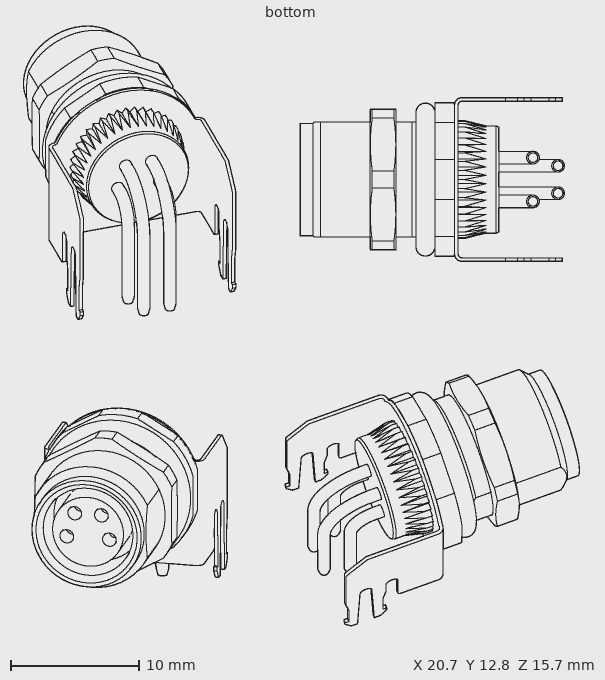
import cadquery as cq
import math


TOTAL_LENGTH = 20.65

TIP_RADIUS = 4.4
TIP_END = 1.01
THREAD_RADIUS = 5.0
THREAD_END = 8.75
THREAD_FLAT_OFFSET = 4.5
FLANGE_START = 10.53
FLANGE_END = 12.05
FLANGE_RADIUS = 6.24
FLANGE_FLAT_OFFSET = 6.0
KNURL_END = 14.52
KNURL_TAPER_START = 12.85
KNURL_CREST_RADIUS = 4.6
KNURL_TEETH = 40
BOSS_RADIUS = 8.4 / 2
BOSS_END = 15.53
BOSS_CHAMFER_LENGTH = 0.2
BOSS_CHAMFER_DEPTH = 0.1

SOCKET_RADIUS = 7.2 / 2
SOCKET_RIM_RADIUS = 4.07
SOCKET_DEPTH = 4.13
INSERT_RADIUS = 5.7 / 2
INSERT_RECESS = 0.5
CONTACT_HOLE_DIAMETER = 1.1
CONTACT_HOLE_DEPTH = 2.06
UPPER_CONTACT_Y = 1.07
UPPER_CONTACT_Z = 1.45
LOWER_CONTACT_Y = 1.71
LOWER_CONTACT_Z = -0.52

PIN_RADIUS = 1.0 / 2
PIN_BOTTOM = -9.5
PIN_TIP_LENGTH = 0.5
PIN_TIP_INSET = 0.12
OUTER_PIN_X = TOTAL_LENGTH - PIN_RADIUS
OUTER_BEND_RADIUS = 3.95
BEND_CENTRE_X = OUTER_PIN_X - OUTER_BEND_RADIUS
BEND_CENTRE_Z = UPPER_CONTACT_Z - OUTER_BEND_RADIUS

SHEET = 0.29
BRACKET_HALF_WIDTH = 6.4
BRACKET_BEND_RADIUS = 0.6
BRACKET_TOP = 2.33
BRACKET_BOTTOM = -6.32
BRACKET_CROWN_RADIUS = 6.15
CROWN_FILLET = 0.25
CLIP_CENTRE_X = 18.73
CLIP_HALF_WIDTH = 1.7
CLIP_NECK_HALF_WIDTH = 1.45
CLIP_BARB_HALF_WIDTH = 1.75
CLIP_TIP_HALF_WIDTH = 1.22
CLIP_SLOT_MOUTH_HALF_WIDTH = 0.7
CLIP_BOTTOM = -9.13
BARB_BOTTOM = -8.43
BARB_TOP = -8.1
NECK_TOP = -6.03
NECK_TAPER_TOP = -4.9
SLOT_RADIUS = 0.5
SLOT_ARC_CENTRE = -3.68
CORNER_CUT_X = 1.82
CORNER_CUT_Z = 1.71
PLATE_CORNER_FILLET = 0.25

NUT_START = 5.47
NUT_END = 7.5
NUT_FLAT_OFFSET = 5.5
NUT_CORNER_RADIUS = 5.99
NUT_FACE_RADIUS = 5.43
NUT_CHAMFER_LENGTH = 0.17

O_RING_START = 9.05
O_RING_SECTION_RADIUS = (FLANGE_START - O_RING_START) / 2
O_RING_SEAT_RADIUS = THREAD_FLAT_OFFSET


def turned(points):
    """Solid of revolution about the X axis from (x, radius) points."""
    return cq.Workplane("XY").polyline(points).close().revolve(360, (0, 0), (1, 0))


def cylinder(start, end, radius):
    """Cylinder on the X axis."""
    return cq.Workplane("YZ", origin=(start, 0, 0)).circle(radius).extrude(end - start)


def ring(centre_x, mean_radius, section_radius):
    """Torus around the X axis."""
    return (
        cq.Workplane("XY").center(centre_x, mean_radius).circle(section_radius)
        .revolve(360, (0, -mean_radius), (1, -mean_radius))
    )


def hexagon(start, end, flat_offset):
    """Hexagonal prism along X with two of its flats facing +Y and -Y."""
    corner_diameter = 2 * flat_offset / math.cos(math.pi / 6)
    return (
        cq.Workplane("YZ", origin=(start, 0, 0))
        .transformed(rotate=(0, 0, 90))
        .polygon(6, corner_diameter)
        .extrude(end - start)
    )


def make_barrel():
    """Threaded barrel with two flats, ending in the O-ring seat."""
    front_cone = THREAD_RADIUS - TIP_RADIUS
    rear_cone = THREAD_RADIUS - O_RING_SEAT_RADIUS
    barrel = turned([
        (0, 0),
        (0, TIP_RADIUS),
        (TIP_END, TIP_RADIUS),
        (TIP_END + front_cone, THREAD_RADIUS),
        (THREAD_END, THREAD_RADIUS),
        (THREAD_END + rear_cone, O_RING_SEAT_RADIUS),
        (FLANGE_START, O_RING_SEAT_RADIUS),
        (FLANGE_START, 0),
    ])
    between_flats = cq.Workplane("XY").box(
        FLANGE_START, 2 * THREAD_FLAT_OFFSET, 2 * THREAD_RADIUS, centered=(False, True, True)
    )
    return barrel.intersect(between_flats)


def make_flange():
    """Round flange with six flats."""
    disc = cylinder(FLANGE_START, FLANGE_END, FLANGE_RADIUS)
    return disc.intersect(hexagon(FLANGE_START, FLANGE_END, FLANGE_FLAT_OFFSET))


def make_knurl():
    """Collar with V-shaped teeth along X, tapered down to the boss."""
    half_pitch = math.pi / KNURL_TEETH
    outline = []
    for i in range(2 * KNURL_TEETH):
        radius = KNURL_CREST_RADIUS if i % 2 == 0 else BOSS_RADIUS
        outline.append((radius * math.cos(i * half_pitch), radius * math.sin(i * half_pitch)))
    teeth = (
        cq.Workplane("YZ", origin=(FLANGE_END, 0, 0))
        .polyline(outline).close().extrude(KNURL_END - FLANGE_END)
    )
    envelope = turned([
        (FLANGE_END, 0),
        (FLANGE_END, KNURL_CREST_RADIUS),
        (KNURL_TAPER_START, KNURL_CREST_RADIUS),
        (KNURL_END, BOSS_RADIUS),
        (KNURL_END, 0),
    ])
    return teeth.intersect(envelope)


def make_boss():
    """Rear boss with a chamfered back edge."""
    return turned([
        (KNURL_END, 0),
        (KNURL_END, BOSS_RADIUS),
        (BOSS_END - BOSS_CHAMFER_LENGTH, BOSS_RADIUS),
        (BOSS_END, BOSS_RADIUS - BOSS_CHAMFER_DEPTH),
        (BOSS_END, 0),
    ])


def cut_mating_face(housing):
    """Hollow the front: annular socket around the insert, bead and contact holes."""
    socket = turned([
        (0, 0),
        (0, SOCKET_RIM_RADIUS),
        (INSERT_RECESS, SOCKET_RADIUS),
        (SOCKET_DEPTH, SOCKET_RADIUS),
        (SOCKET_DEPTH, INSERT_RADIUS),
        (INSERT_RECESS, INSERT_RADIUS),
        (INSERT_RECESS, 0),
    ])
    bead_radius = (SOCKET_RADIUS - INSERT_RADIUS) / 2
    bead = ring(SOCKET_DEPTH, INSERT_RADIUS + bead_radius, bead_radius)
    contact_holes = (
        cq.Workplane("YZ", origin=(INSERT_RECESS, 0, 0))
        .pushPoints([
            (UPPER_CONTACT_Y, UPPER_CONTACT_Z),
            (-UPPER_CONTACT_Y, UPPER_CONTACT_Z),
            (LOWER_CONTACT_Y, LOWER_CONTACT_Z),
            (-LOWER_CONTACT_Y, LOWER_CONTACT_Z),
        ])
        .circle(CONTACT_HOLE_DIAMETER / 2)
        .extrude(CONTACT_HOLE_DEPTH)
    )
    return housing.cut(socket).union(bead).cut(contact_holes)


def make_pin(y, z):
    """Pin leaving the boss at height z, bent down about the common bend centre."""
    bend_radius = z - BEND_CENTRE_Z
    pin_x = BEND_CENTRE_X + bend_radius
    tip_top = PIN_BOTTOM + PIN_TIP_LENGTH
    diagonal = bend_radius * math.sqrt(0.5)
    path = (
        cq.Workplane("XZ", origin=(0, y, 0))
        .moveTo(BOSS_END, z)
        .lineTo(BEND_CENTRE_X, z)
        .threePointArc(
            (BEND_CENTRE_X + diagonal, BEND_CENTRE_Z + diagonal),
            (pin_x, BEND_CENTRE_Z),
        )
        .lineTo(pin_x, tip_top)
    )
    rod = cq.Workplane("YZ", origin=(BOSS_END, y, z)).circle(PIN_RADIUS).sweep(path)
    tip = (
        cq.Workplane("XY", origin=(pin_x, y, PIN_BOTTOM))
        .circle(PIN_RADIUS - PIN_TIP_INSET)
        .workplane(offset=PIN_TIP_LENGTH)
        .circle(PIN_RADIUS)
        .loft()
    )
    return rod.union(tip)


def make_bracket_side_outline():
    """Outline of the two side plates, as a block across the full bracket width."""
    rear = CLIP_CENTRE_X + CLIP_HALF_WIDTH
    clip_front = CLIP_CENTRE_X - CLIP_HALF_WIDTH
    plate_rear = clip_front - 2 * SLOT_RADIUS
    slot_top = SLOT_ARC_CENTRE + SLOT_RADIUS
    leg = [
        (CLIP_HALF_WIDTH, NECK_TAPER_TOP),
        (CLIP_NECK_HALF_WIDTH, NECK_TOP),
        (CLIP_NECK_HALF_WIDTH, BARB_TOP),
        (CLIP_BARB_HALF_WIDTH, BARB_TOP),
        (CLIP_BARB_HALF_WIDTH, BARB_BOTTOM),
        (CLIP_TIP_HALF_WIDTH, CLIP_BOTTOM),
        (CLIP_SLOT_MOUTH_HALF_WIDTH, CLIP_BOTTOM),
    ]
    outline = (
        cq.Workplane("XZ", origin=(0, BRACKET_HALF_WIDTH, 0))
        .moveTo(FLANGE_END, BRACKET_TOP)
        .lineTo(rear - CORNER_CUT_X, BRACKET_TOP)
        .lineTo(rear, BRACKET_TOP - CORNER_CUT_Z)
    )
    for offset, z in leg:
        outline = outline.lineTo(CLIP_CENTRE_X + offset, z)
    outline = (
        outline
        .lineTo(CLIP_CENTRE_X + SLOT_RADIUS, SLOT_ARC_CENTRE)
        .threePointArc((CLIP_CENTRE_X, slot_top), (CLIP_CENTRE_X - SLOT_RADIUS, SLOT_ARC_CENTRE))
    )
    for offset, z in reversed(leg):
        outline = outline.lineTo(CLIP_CENTRE_X - offset, z)
    plate = (
        outline
        .lineTo(clip_front, SLOT_ARC_CENTRE)
        .threePointArc((clip_front - SLOT_RADIUS, slot_top), (plate_rear, SLOT_ARC_CENTRE))
        .lineTo(plate_rear, BRACKET_BOTTOM)
        .lineTo(FLANGE_END, BRACKET_BOTTOM)
        .close()
        .extrude(2 * BRACKET_HALF_WIDTH)
    )
    rounded_corners = [
        (rear - CORNER_CUT_X, BRACKET_TOP),
        (rear, BRACKET_TOP - CORNER_CUT_Z),
        (plate_rear, BRACKET_BOTTOM),
    ]
    for x, z in rounded_corners:
        corner = cq.selectors.NearestToPointSelector((x, 0, z))
        plate = plate.edges("|Y").edges(corner).fillet(PLATE_CORNER_FILLET)
    return plate


def make_bracket_crown():
    """Round top of the front panel, with filleted feet on the side plates' top level."""
    foot_centre_z = BRACKET_TOP + CROWN_FILLET
    centre_distance = BRACKET_CROWN_RADIUS + CROWN_FILLET
    foot_centre_y = math.sqrt(centre_distance ** 2 - foot_centre_z ** 2)
    touch_y = foot_centre_y * BRACKET_CROWN_RADIUS / centre_distance
    touch_z = foot_centre_z * BRACKET_CROWN_RADIUS / centre_distance
    middle_angle = (math.atan2(foot_centre_z, foot_centre_y) + math.pi / 2) / 2
    middle_y = foot_centre_y - CROWN_FILLET * math.cos(middle_angle)
    middle_z = foot_centre_z - CROWN_FILLET * math.sin(middle_angle)
    return (
        cq.Workplane("YZ", origin=(FLANGE_END, 0, 0))
        .moveTo(-foot_centre_y, 0)
        .lineTo(-foot_centre_y, BRACKET_TOP)
        .threePointArc((-middle_y, middle_z), (-touch_y, touch_z))
        .threePointArc((0, BRACKET_CROWN_RADIUS), (touch_y, touch_z))
        .threePointArc((middle_y, middle_z), (foot_centre_y, BRACKET_TOP))
        .lineTo(foot_centre_y, 0)
        .close()
        .extrude(SHEET)
    )


def make_bracket():
    """U-shaped sheet: front panel against the flange and two side plates with clips."""
    length = CLIP_CENTRE_X + CLIP_BARB_HALF_WIDTH - FLANGE_END
    height = BRACKET_CROWN_RADIUS - CLIP_BOTTOM
    outside = (
        cq.Workplane("XY", origin=(FLANGE_END, 0, CLIP_BOTTOM))
        .box(length, 2 * BRACKET_HALF_WIDTH, height, centered=(False, True, False))
        .edges("|Z and <X").fillet(BRACKET_BEND_RADIUS)
    )
    inside = (
        cq.Workplane("XY", origin=(FLANGE_END + SHEET, 0, CLIP_BOTTOM))
        .box(length, 2 * (BRACKET_HALF_WIDTH - SHEET), height, centered=(False, True, False))
        .edges("|Z and <X").fillet(BRACKET_BEND_RADIUS - SHEET)
    )
    channel = outside.cut(inside)
    return channel.intersect(make_bracket_side_outline().union(make_bracket_crown()))


def make_connector():
    """Housing in one piece with its bracket and its four bent pins."""
    housing = make_barrel().union(make_flange()).union(make_knurl()).union(make_boss())
    connector = cut_mating_face(housing).union(make_bracket())
    for side in (1, -1):
        connector = connector.union(make_pin(side * UPPER_CONTACT_Y, UPPER_CONTACT_Z))
        connector = connector.union(make_pin(side * LOWER_CONTACT_Y, LOWER_CONTACT_Z))
    return connector


def make_nut():
    """Hexagon nut with turned corners and conical chamfers on both faces."""
    envelope = turned([
        (NUT_START, THREAD_RADIUS),
        (NUT_START, NUT_FACE_RADIUS),
        (NUT_START + NUT_CHAMFER_LENGTH, NUT_CORNER_RADIUS),
        (NUT_END - NUT_CHAMFER_LENGTH, NUT_CORNER_RADIUS),
        (NUT_END, NUT_FACE_RADIUS),
        (NUT_END, THREAD_RADIUS),
    ])
    return hexagon(NUT_START, NUT_END, NUT_FLAT_OFFSET).intersect(envelope)


def make_o_ring():
    """Round-section ring on its seat, against the flange."""
    centre_x = FLANGE_START - O_RING_SECTION_RADIUS
    return ring(centre_x, O_RING_SEAT_RADIUS + O_RING_SECTION_RADIUS, O_RING_SECTION_RADIUS)


connector = make_connector()
nut = make_nut()
o_ring = make_o_ring()

result = cq.Compound.makeCompound([connector.val(), nut.val(), o_ring.val()])